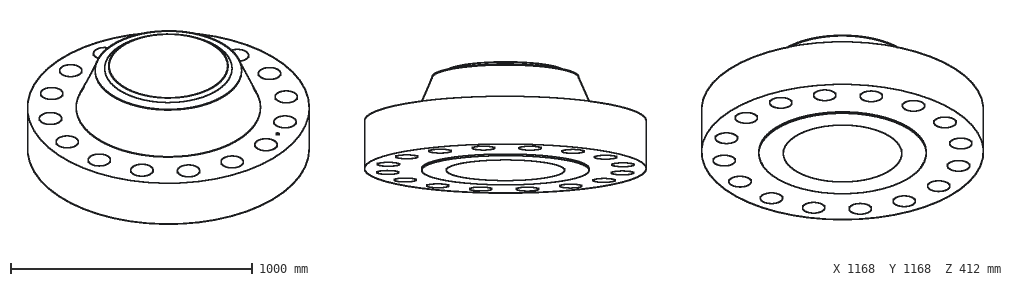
import cadquery as cq
import math

flange_radius = 584.0
flange_thickness = 201.0
face_radius = 347.0
face_height = 7.0

overall_height = 412.0
neck_base_radius = 382.0
neck_top_radius = 304.0
neck_base_band_height = 2.0
neck_top_z = 389.0
neck_top_band_height = 4.0
bevel_break_radius = 264.0
bevel_break_z = 401.0
weld_end_radius = 248.0
bore_radius = 245.0

bolt_count = 16
bolt_circle_radius = 495.0
bolt_hole_diameter = 92.0
small_hole_diameter = 13.0
small_hole_depth = 23.0

bolt_pitch_angle = 360 / bolt_count
flange_top_z = face_height + flange_thickness


def turned_body():
    """Revolve the half section, which lies in XZ, about the Z axis."""
    half_section = [
        (bore_radius, 0),
        (face_radius, 0),
        (face_radius, face_height),
        (flange_radius, face_height),
        (flange_radius, flange_top_z),
        (neck_base_radius, flange_top_z),
        (neck_base_radius, flange_top_z + neck_base_band_height),
        (neck_top_radius, neck_top_z),
        (neck_top_radius, neck_top_z + neck_top_band_height),
        (bevel_break_radius, bevel_break_z),
        (weld_end_radius, overall_height),
        (bore_radius, overall_height),
    ]
    return cq.Workplane("XZ").polyline(half_section).close().revolve(360, (0, 0, 0), (0, 1, 0))


def bolt_holes():
    """Cutters for the evenly spaced holes through the flange."""
    return (
        cq.Workplane("XY")
        .polarArray(bolt_circle_radius, 0, 360, bolt_count)
        .circle(bolt_hole_diameter / 2)
        .extrude(flange_top_z)
    )


def small_hole():
    """Cutter for the blind hole sunk from the flange top, on the bolt circle."""
    angle = math.radians(bolt_pitch_angle / 2)
    return (
        cq.Workplane("XY", origin=(0, 0, flange_top_z))
        .center(bolt_circle_radius * math.cos(angle), bolt_circle_radius * math.sin(angle))
        .circle(small_hole_diameter / 2)
        .extrude(-small_hole_depth)
    )


result = turned_body().cut(bolt_holes()).cut(small_hole())